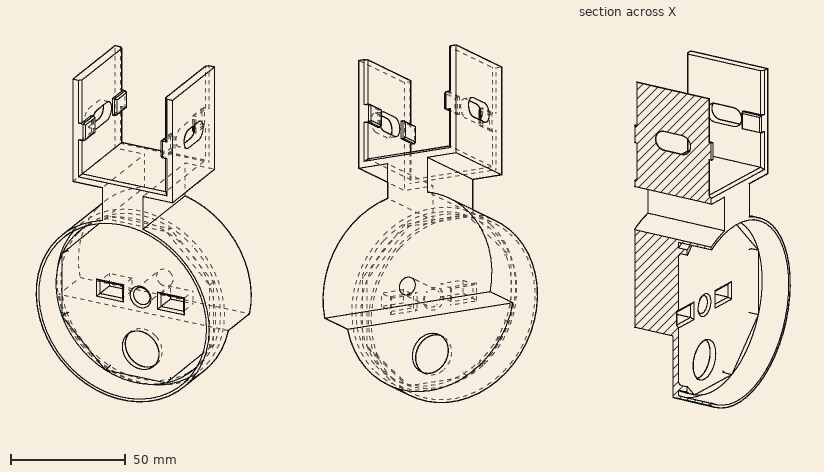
import cadquery as cq
depth = 40.0
front_y = -depth / 2
back_y = depth / 2

body_diameter = 85.0
body_radius = body_diameter / 2
lower_depth = 20.0
cut_top_z = -8.6

cup_diameter = 82.39
plateau_diameter = 78.39
plateau_depth = 12.5
octagon_sides = 8
octagon_turn = 180 / octagon_sides
octagon_depth = 17.0
octagon_fillet = 1.25
groove_depth = octagon_depth
floor_y = front_y + octagon_depth

center_hole_diameter = 8.0
cable_hole_diameter = 18.0
cable_hole_z = -25.5
pocket_width = 11.0
pocket_height = 6.0
pocket_depth = 10.0
pocket_offset_x = 15.0
mouth_chamfer = 1.1

neck_width = 20.0
bracket_size = 49.0
bracket_wall = 4.0
bracket_bottom_z = 57.0
bracket_chamfer = 1.2
bracket_mid_z = bracket_bottom_z + bracket_size / 2
bracket_top_z = bracket_bottom_z + bracket_size
channel_half_width = bracket_size / 2 - bracket_wall
channel_floor_z = bracket_bottom_z + bracket_wall

slot_length = 18.0
slot_height = 8.7
tab_length = 10.0
tab_height = 8.0
tab_protrusion = 2.0
tab_bevel_depth = 1.0
tab_bevel_inset = 0.5


def facing_back(y):
    """Sketch plane at the given Y: local x is +X, local y is -Z, the normal is +Y."""
    return cq.Workplane(cq.Plane(origin=(0, y, 0), xDir=(1, 0, 0), normal=(0, 1, 0)))


def cylinder(diameter, y_start, y_end, z=0.0):
    return facing_back(y_start).center(0, -z).circle(diameter / 2).extrude(y_end - y_start)


def block(x_min, x_max, y_min, y_max, z_min, z_max):
    size = (x_max - x_min, y_max - y_min, z_max - z_min)
    return cq.Workplane("XY").box(*size, centered=False).translate((x_min, y_min, z_min))


def make_body():
    body = cylinder(body_diameter, front_y, back_y)
    lower_back = block(
        -body_radius, body_radius, front_y + lower_depth, back_y, -body_radius, cut_top_z
    )
    neck = block(-neck_width / 2, neck_width / 2, front_y, back_y, 0, bracket_bottom_z)
    return body.cut(lower_back).union(neck)


def make_recess():
    cup = cylinder(cup_diameter, front_y, front_y + groove_depth)
    plateau = cylinder(plateau_diameter, front_y + plateau_depth, front_y + groove_depth)
    octagon = (
        facing_back(front_y)
        .transformed(rotate=(0, 0, octagon_turn))
        .polygon(octagon_sides, plateau_diameter)
        .extrude(octagon_depth)
        .faces(">Y")
        .edges()
        .fillet(octagon_fillet)
    )
    return cup.cut(plateau).union(octagon)


def make_center_hole():
    radius = center_hole_diameter / 2
    mouth = (
        facing_back(floor_y)
        .circle(radius + mouth_chamfer)
        .workplane(offset=mouth_chamfer)
        .circle(radius)
        .loft()
    )
    return cylinder(center_hole_diameter, floor_y, back_y).union(mouth)


def make_pocket(x):
    pocket = facing_back(floor_y).center(x, 0).rect(pocket_width, pocket_height).extrude(pocket_depth)
    mouth = (
        facing_back(floor_y)
        .center(x, 0)
        .rect(pocket_width + 2 * mouth_chamfer, pocket_height + 2 * mouth_chamfer)
        .workplane(offset=mouth_chamfer)
        .rect(pocket_width, pocket_height)
        .loft()
    )
    return pocket.union(mouth)


def make_bracket():
    half = bracket_size / 2
    outer = block(-half, half, front_y, back_y, bracket_bottom_z, bracket_top_z)
    channel = block(
        -channel_half_width, channel_half_width, front_y, back_y,
        channel_floor_z, bracket_top_z + bracket_wall,
    )
    bracket = outer.cut(channel)
    for y, inward in ((front_y, 1), (back_y, -1)):
        bracket = bracket.cut(make_channel_flare(y, inward))
    return bracket


def make_channel_flare(y, inward):
    """Tapered cutter that chamfers the channel edges on the end face at the given Y."""
    height = bracket_top_z + bracket_wall - channel_floor_z
    width = 2 * channel_half_width
    return (
        facing_back(y)
        .center(0, -(channel_floor_z + height / 2))
        .rect(width + 2 * bracket_chamfer, height + 2 * bracket_chamfer)
        .workplane(offset=inward * bracket_chamfer)
        .rect(width, height)
        .loft()
    )


def make_tab(side, y_center):
    """Block on the inner bracket wall with a bevelled rim around its tip."""
    root_x = channel_half_width + bracket_wall / 2
    tip_x = channel_half_width - tab_protrusion
    base_length = root_x - tip_x - tab_bevel_depth
    root = (side * root_x, y_center, bracket_mid_z)
    plane = cq.Plane(origin=root, xDir=(0, 1, 0), normal=(-side, 0, 0))
    base = cq.Workplane(plane).rect(tab_length, tab_height).extrude(base_length)
    tip = (
        cq.Workplane(plane)
        .workplane(offset=base_length)
        .rect(tab_length, tab_height)
        .workplane(offset=tab_bevel_depth)
        .rect(tab_length - 2 * tab_bevel_inset, tab_height - 2 * tab_bevel_inset)
        .loft()
    )
    return base.union(tip)


def make_slots():
    return (
        cq.Workplane("YZ")
        .center(0, bracket_mid_z)
        .slot2D(slot_length, slot_height)
        .extrude(bracket_size / 2, both=True)
    )


tab_center_y = (depth - tab_length) / 2

result = make_body().union(make_bracket())
result = result.cut(make_recess())
result = result.cut(make_center_hole())
result = result.cut(cylinder(cable_hole_diameter, floor_y, back_y, cable_hole_z))
for side in (-1, 1):
    result = result.cut(make_pocket(side * pocket_offset_x))
    for y_center in (-tab_center_y, tab_center_y):
        result = result.union(make_tab(side, y_center))
result = result.cut(make_slots())